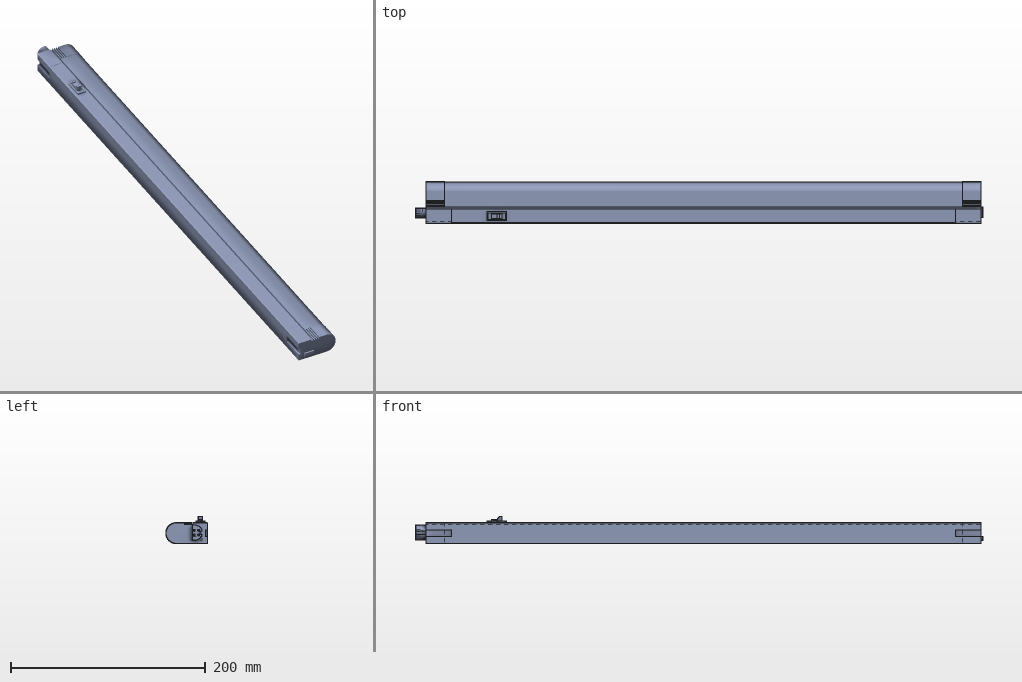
import cadquery as cq

TOTAL_LENGTH = 583.0
TOTAL_WIDTH = 43.0
TOTAL_HEIGHT = 28.0
BODY_HEIGHT = 21.5
MID_HEIGHT = BODY_HEIGHT / 2

PLUG_LENGTH = 10.5
TAB_LENGTH = 2.0
BODY_START = PLUG_LENGTH
BODY_END = TOTAL_LENGTH - TAB_LENGTH

HOUSING_WIDTH = 15.0
SEAM_WIDTH = 2.0
SEAM_DEPTH = 2.0
TUBE_BULGE = 10.0
TUBE_FLAT_END = TOTAL_WIDTH - TUBE_BULGE
CHAMFER_WIDTH = 1.0
CHAMFER_HEIGHT = 0.3

CAP_STEP = 0.3
TUBE_CAP_LENGTH = 19.0
HOUSING_CAP_LENGTH = 26.0

GRIP_COUNT = 3
GRIP_PITCH = 2.5
GRIP_WIDTH = 1.0
GRIP_DEPTH = 2.0

SLOT_LENGTH = HOUSING_CAP_LENGTH
SLOT_HEIGHT = 7.0
SLOT_DEPTH = 2.5

PLUG_DIAMETER = 16.0
PLUG_Y = 13.5
PLUG_FLAT_Y = 16.0
PLUG_Z = MID_HEIGHT + 0.5
KEYWAY_HEIGHT = 3.5
KEYWAY_DEPTH = 2.5
CONTACT_DIAMETER = 2.0
CONTACT_DEPTH = 7.0
CONTACT_PITCH = 4.5
CONTACT_Y = 11.5

TAB_Y = 11.5
TAB_WIDTH = 11.0
TAB_BOTTOM = 3.5
TAB_HEIGHT = 4.0

SWITCH_X = 83.5
SWITCH_Y = 7.5
SWITCH_LENGTH = 20.5
SWITCH_WIDTH = 9.5
SWITCH_FRAME_HEIGHT = 2.0
SWITCH_FRAME_WALL = 1.0
SWITCH_POCKET_DEPTH = 1.0
ROCKER_LENGTH = 11.0
ROCKER_WIDTH = 4.5
ROCKER_LOW_END = 3.5
ROCKER_MIDDLE = 3.0
ROCKER_TOP_LENGTH = 3.0


def box(x0, x1, y0, y1, z0, z1):
    """Box between two corner points."""
    return cq.Workplane("XY").box(x1 - x0, y1 - y0, z1 - z0, centered=False).translate((x0, y0, z0))


def make_body():
    """Flat-faced housing that runs into a round-backed tube."""
    profile = (
        cq.Workplane("YZ", origin=(BODY_START, 0, 0))
        .lineTo(TUBE_FLAT_END, 0)
        .threePointArc((TOTAL_WIDTH, MID_HEIGHT), (TUBE_FLAT_END, BODY_HEIGHT))
        .lineTo(CHAMFER_WIDTH, BODY_HEIGHT)
        .lineTo(0, BODY_HEIGHT - CHAMFER_HEIGHT)
        .close()
    )
    return profile.extrude(BODY_END - BODY_START)


def tube_recess():
    """Thin skin taken off the tube between its end caps."""
    start = BODY_START + TUBE_CAP_LENGTH
    length = BODY_END - TUBE_CAP_LENGTH - start
    tube_start = HOUSING_WIDTH + SEAM_WIDTH
    bottom = CAP_STEP
    top = BODY_HEIGHT - CAP_STEP
    inner = (
        cq.Workplane("YZ", origin=(start, 0, 0))
        .moveTo(tube_start, bottom)
        .lineTo(TUBE_FLAT_END, bottom)
        .threePointArc((TOTAL_WIDTH - CAP_STEP, MID_HEIGHT), (TUBE_FLAT_END, top))
        .lineTo(tube_start, top)
        .close()
        .extrude(length)
    )
    return box(start, start + length, tube_start, TOTAL_WIDTH, 0, BODY_HEIGHT).cut(inner)


def housing_recess():
    """Shallow step in the housing top between its end caps, behind the chamfered edge."""
    return box(
        BODY_START + HOUSING_CAP_LENGTH, BODY_END - HOUSING_CAP_LENGTH,
        CHAMFER_WIDTH, HOUSING_WIDTH,
        BODY_HEIGHT - CAP_STEP, BODY_HEIGHT,
    )


def seam_groove():
    """Groove along the joint between the housing and the tube."""
    return box(
        BODY_START, BODY_END,
        HOUSING_WIDTH, HOUSING_WIDTH + SEAM_WIDTH,
        BODY_HEIGHT - SEAM_DEPTH, BODY_HEIGHT,
    )


def grip_groove(x0, index):
    """One of the grip grooves along a tube cap, counted from the seam."""
    y0 = HOUSING_WIDTH + SEAM_WIDTH + GRIP_WIDTH + index * GRIP_PITCH
    return box(
        x0, x0 + TUBE_CAP_LENGTH,
        y0, y0 + GRIP_WIDTH,
        BODY_HEIGHT - GRIP_DEPTH, BODY_HEIGHT,
    )


def latch_slot(x0):
    """Slot in the housing face, open at the body end."""
    return box(
        x0, x0 + SLOT_LENGTH,
        0, SLOT_DEPTH,
        MID_HEIGHT - SLOT_HEIGHT / 2, MID_HEIGHT + SLOT_HEIGHT / 2,
    )


def make_plug():
    """Flatted round plug with a keyway in its outer side and four contact holes."""
    outer_side = PLUG_Y - PLUG_DIAMETER / 2
    plug = (
        cq.Workplane("YZ", origin=(0, PLUG_Y, PLUG_Z))
        .circle(PLUG_DIAMETER / 2)
        .extrude(PLUG_LENGTH)
        .intersect(box(0, PLUG_LENGTH, outer_side, PLUG_FLAT_Y, 0, BODY_HEIGHT))
    )
    keyway = box(
        0, PLUG_LENGTH,
        outer_side, outer_side + KEYWAY_DEPTH,
        PLUG_Z - KEYWAY_HEIGHT / 2, PLUG_Z + KEYWAY_HEIGHT / 2,
    )
    contacts = (
        cq.Workplane("YZ", origin=(0, CONTACT_Y, PLUG_Z))
        .rarray(CONTACT_PITCH, CONTACT_PITCH, 2, 2)
        .circle(CONTACT_DIAMETER / 2)
        .extrude(CONTACT_DEPTH)
    )
    return plug.cut(keyway).cut(contacts)


def make_tab():
    """Small raised tab low on the far end of the housing."""
    return box(
        BODY_END, TOTAL_LENGTH,
        TAB_Y - TAB_WIDTH / 2, TAB_Y + TAB_WIDTH / 2,
        TAB_BOTTOM, TAB_BOTTOM + TAB_HEIGHT,
    )


def switch_block(inset, bottom, top):
    """Rectangular block at the switch, drawn in from the frame outline by the inset."""
    half_length = SWITCH_LENGTH / 2 - inset
    half_width = SWITCH_WIDTH / 2 - inset
    return box(
        SWITCH_X - half_length, SWITCH_X + half_length,
        SWITCH_Y - half_width, SWITCH_Y + half_width,
        bottom, top,
    )


def make_switch():
    """Framed switch with a rocker raised at its +X end."""
    base_bottom = BODY_HEIGHT - CAP_STEP
    frame_top = BODY_HEIGHT + SWITCH_FRAME_HEIGHT
    pocket = switch_block(SWITCH_FRAME_WALL, frame_top - SWITCH_POCKET_DEPTH, frame_top)
    frame = switch_block(0, base_bottom, frame_top).cut(pocket)
    half = ROCKER_LENGTH / 2
    rocker = (
        cq.Workplane("XZ", origin=(SWITCH_X, SWITCH_Y + ROCKER_WIDTH / 2, 0))
        .moveTo(-half, base_bottom)
        .lineTo(-half, BODY_HEIGHT + ROCKER_LOW_END)
        .lineTo(0, BODY_HEIGHT + ROCKER_MIDDLE)
        .lineTo(half - ROCKER_TOP_LENGTH, TOTAL_HEIGHT)
        .lineTo(half, TOTAL_HEIGHT)
        .lineTo(half, base_bottom)
        .close()
        .extrude(ROCKER_WIDTH)
    )
    return frame.union(rocker)


result = make_body().cut(tube_recess()).cut(housing_recess()).cut(seam_groove())
for cap_start in (BODY_START, BODY_END - TUBE_CAP_LENGTH):
    for groove_index in range(GRIP_COUNT):
        result = result.cut(grip_groove(cap_start, groove_index))
for slot_start in (BODY_START, BODY_END - SLOT_LENGTH):
    result = result.cut(latch_slot(slot_start))
result = result.union(make_plug()).union(make_tab()).union(make_switch())